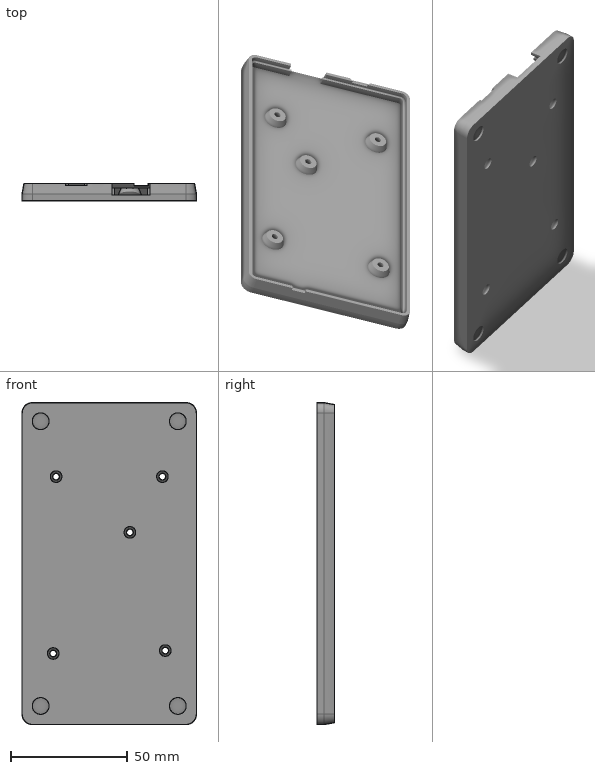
import cadquery as cq
import math

width = 75.0
length = 138.3
depth = 7.6
corner_radius = 4.5

straight_band = 3.0
draft_inset = 0.8
draft_angle = math.degrees(math.atan(draft_inset / (depth - straight_band)))
floor_height = 2.6
wall_thickness = 1.4
rim_inset = draft_inset + wall_thickness
ledge_height = 5.5
ledge_width = 1.1
ledge_end = length / 2 - rim_inset

post_base_radius = 5.0
post_top_radius = 3.7
screw_radius = 1.4
screw_recess_radius = 2.5
screw_recess_depth = 3.5
post_centres = [(-22.8, 37.4), (22.8, 37.4), (8.9, 13.4), (-24.1, -38.6), (24.1, -37.4)]

foot_radius = 3.6
foot_depth = 0.8
foot_inset = 8.0

cable_notch_left = 1.2
cable_notch_right = 17.5
cable_notch_ledge_step = 1.0
slot_floor = 6.6
top_slot_centre = -14.1
top_slot_inner_width = 6.8
top_slot_outer_width = 10.4
bottom_slot_centre = 13.7
bottom_slot_width = 6.0


def at_height(height):
    """Workplane parallel to the plate face, at the given Y."""
    return cq.Workplane("XZ", origin=(0, height, 0))


def rounded_prism(inset, start, end):
    """Upright prism with the tray outline shrunk by inset, between two heights."""
    return (
        at_height(end)
        .rect(width - 2 * inset, length - 2 * inset)
        .extrude(end - start)
        .edges("|Y")
        .fillet(corner_radius - inset)
    )


def cylinder(centre, radius, start, end):
    return at_height(end).center(*centre).circle(radius).extrude(end - start)


def tray_shell():
    """Tray with drafted outer walls, and a ledge around the inside."""
    base = rounded_prism(0, 0, straight_band)
    outline = base.faces(">Y").wires()
    walls = outline.toPending().workplane().extrude(depth - straight_band, taper=draft_angle)
    return (
        base.union(walls)
        .cut(rounded_prism(rim_inset, ledge_height, depth))
        .cut(rounded_prism(rim_inset + ledge_width, floor_height, ledge_height))
    )


def post(centre):
    """Conical post rising from the floor to the ledge height."""
    return (
        at_height(floor_height)
        .center(*centre)
        .circle(post_base_radius)
        .workplane(offset=floor_height - ledge_height)
        .circle(post_top_radius)
        .loft()
    )


def wall_opening(outline, bottom):
    """Cutter over an XZ outline, reaching from the given height out past the rim."""
    return at_height(depth).polyline(outline).close().extrude(depth - bottom)


def cable_notch():
    """Deep notch through the top wall, narrower through the ledge than through the rim."""
    left = cable_notch_left
    right = cable_notch_right
    step = cable_notch_ledge_step
    cavity_end = ledge_end - ledge_width
    outline = [
        (left, length / 2),
        (left, ledge_end),
        (left + step, ledge_end),
        (left + step, cavity_end),
        (right - step, cavity_end),
        (right - step, ledge_end),
        (right, ledge_end),
        (right, length / 2),
    ]
    return wall_opening(outline, floor_height)


def slot(centre, inner_width, outer_width, end):
    """Shallow slot through the rim; end is +1 for the top wall and -1 for the bottom wall."""
    outline = [
        (centre - inner_width / 2, end * ledge_end),
        (centre - outer_width / 2, end * length / 2),
        (centre + outer_width / 2, end * length / 2),
        (centre + inner_width / 2, end * ledge_end),
    ]
    return wall_opening(outline, slot_floor)


result = tray_shell()
for centre in post_centres:
    result = result.union(post(centre))

for centre in post_centres:
    result = result.cut(cylinder(centre, screw_radius, 0, ledge_height))
    result = result.cut(cylinder(centre, screw_recess_radius, 0, screw_recess_depth))

foot_x = width / 2 - foot_inset
foot_z = length / 2 - foot_inset
for x in (-foot_x, foot_x):
    for z in (-foot_z, foot_z):
        result = result.cut(cylinder((x, z), foot_radius, 0, foot_depth))

result = result.cut(cable_notch())
result = result.cut(slot(top_slot_centre, top_slot_inner_width, top_slot_outer_width, 1))
result = result.cut(slot(bottom_slot_centre, bottom_slot_width, bottom_slot_width, -1))